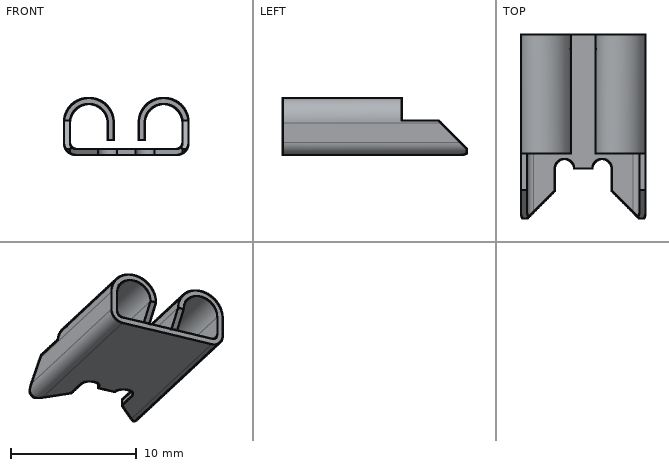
import cadquery as cq
import math

length = 14.68
width = 9.95
height = 4.57
thickness = 0.5

bend_radius = 1.0
curl_radius = 2.0
leg_bottom = 1.2
leg_bevel = 1.16

curl_setback = 5.18
lip_height = 2.77
mouth_half_width = 2.26
mouth_depth = 3.98
relief_radius = 0.76

half_width = width / 2
curl_z = height - curl_radius
curl_x = half_width - curl_radius
relief_x = mouth_half_width - relief_radius
floor_bevel = half_width - thickness - mouth_half_width
wall_bevel = lip_height - thickness
diagonal = math.sqrt(0.5)


def prism_along_y(outline):
    """Extrude an XZ outline from the front tip to the back end."""
    return outline.extrude(-length)


def half_section():
    """Right half of the folded strip: floor, corner bend, wall, curl and hanging leg."""
    inner_bend = bend_radius - thickness
    inner_curl = curl_radius - thickness
    bend_x = half_width - bend_radius
    inner_wall_x = half_width - thickness
    leg_outer_x = curl_x - curl_radius
    leg_inner_x = curl_x - inner_curl
    outline = (
        cq.Workplane("XZ")
        .moveTo(0, 0)
        .lineTo(bend_x, 0)
        .threePointArc(
            (bend_x + bend_radius * diagonal, bend_radius - bend_radius * diagonal),
            (half_width, bend_radius),
        )
        .lineTo(half_width, curl_z)
        .threePointArc((curl_x, height), (leg_outer_x, curl_z))
        .lineTo(leg_outer_x, leg_bottom)
        .lineTo(leg_inner_x, leg_bottom)
        .lineTo(leg_inner_x, curl_z)
        .threePointArc((curl_x, height - thickness), (inner_wall_x, curl_z))
        .lineTo(inner_wall_x, bend_radius)
        .threePointArc(
            (bend_x + inner_bend * diagonal, bend_radius - inner_bend * diagonal),
            (bend_x, thickness),
        )
        .lineTo(0, thickness)
        .close()
    )
    return prism_along_y(outline)


def curl_cutter():
    """Block that removes the curls and legs in front of the setback, leaving floor and walls."""
    inner_half_width = half_width - thickness
    above_lip = cq.Workplane("XY").box(width, curl_setback, height, centered=(True, False, False))
    between_walls = cq.Workplane("XY").box(
        2 * (inner_half_width - bend_radius), curl_setback, height, centered=(True, False, False)
    )
    return above_lip.translate((0, 0, lip_height)).union(between_walls.translate((0, 0, thickness)))


def wall_bevel_cutter():
    """Wedge that slopes the front of both walls at 45 degrees down to the floor thickness."""
    return (
        cq.Workplane("YZ")
        .moveTo(0, thickness)
        .lineTo(wall_bevel, lip_height)
        .lineTo(0, lip_height)
        .close()
        .extrude(half_width, both=True)
    )


def mouth_cutter():
    """Flared opening in the front of the floor, ending in two rounded relief notches."""
    flare_half_width = mouth_half_width + floor_bevel
    cutter = (
        cq.Workplane("XY")
        .polyline([
            (-flare_half_width, 0),
            (flare_half_width, 0),
            (mouth_half_width, floor_bevel),
            (mouth_half_width, mouth_depth),
            (-mouth_half_width, mouth_depth),
            (-mouth_half_width, floor_bevel),
        ])
        .close()
        .extrude(bend_radius)
    )
    reliefs = (
        cq.Workplane("XY")
        .pushPoints([(-relief_x, mouth_depth), (relief_x, mouth_depth)])
        .circle(relief_radius)
        .extrude(thickness)
    )
    return cutter.union(reliefs)


def leg_bevel_cutter():
    """Wedges that slope the back ends of both hanging legs forward, from curl centre to leg bottom."""
    return (
        cq.Workplane("YZ")
        .moveTo(length, curl_z)
        .lineTo(length - leg_bevel, leg_bottom)
        .lineTo(length, leg_bottom)
        .close()
        .extrude(curl_x, both=True)
    )


right_half = half_section()
folded_strip = right_half.union(right_half.mirror("YZ"))
result = (
    folded_strip
    .cut(curl_cutter())
    .cut(wall_bevel_cutter())
    .cut(mouth_cutter())
    .cut(leg_bevel_cutter())
)